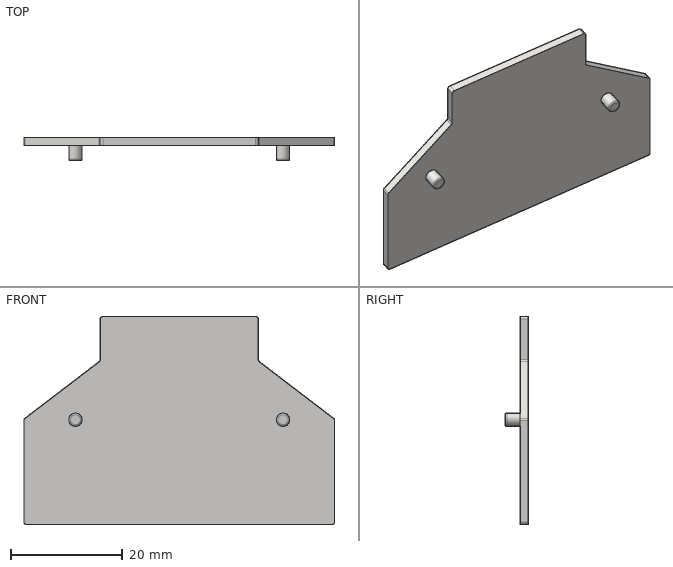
import cadquery as cq

plate_width = 56.0
plate_height = 37.5
plate_thickness = 1.5
tab_width = 28.5
tab_height = 8.0
side_height = 19.0
corner_radius = 0.5

pin_diameter = 2.39
pin_length = 2.7
pin_spacing = 37.4
pin_height = 18.9
pin_tip_radius = 0.3


def make_plate():
    """Flat plate with sloped shoulders and a narrower tab on top; every corner is rounded."""
    half_width = plate_width / 2
    half_tab = tab_width / 2
    shoulder_height = plate_height - tab_height
    outline = [
        (-half_width, 0),
        (half_width, 0),
        (half_width, side_height),
        (half_tab, shoulder_height),
        (half_tab, plate_height),
        (-half_tab, plate_height),
        (-half_tab, shoulder_height),
        (-half_width, side_height),
    ]
    plate = cq.Workplane("XZ").polyline(outline).close().extrude(-plate_thickness)
    return plate.edges("|Y").fillet(corner_radius)


def make_pin(x):
    """Round pin standing out of the front face toward -Y, with a rounded tip."""
    pin = cq.Workplane("XZ").center(x, pin_height).circle(pin_diameter / 2).extrude(pin_length)
    return pin.faces("<Y").edges().fillet(pin_tip_radius)


result = make_plate()
for side in (-1, 1):
    result = result.union(make_pin(side * pin_spacing / 2))